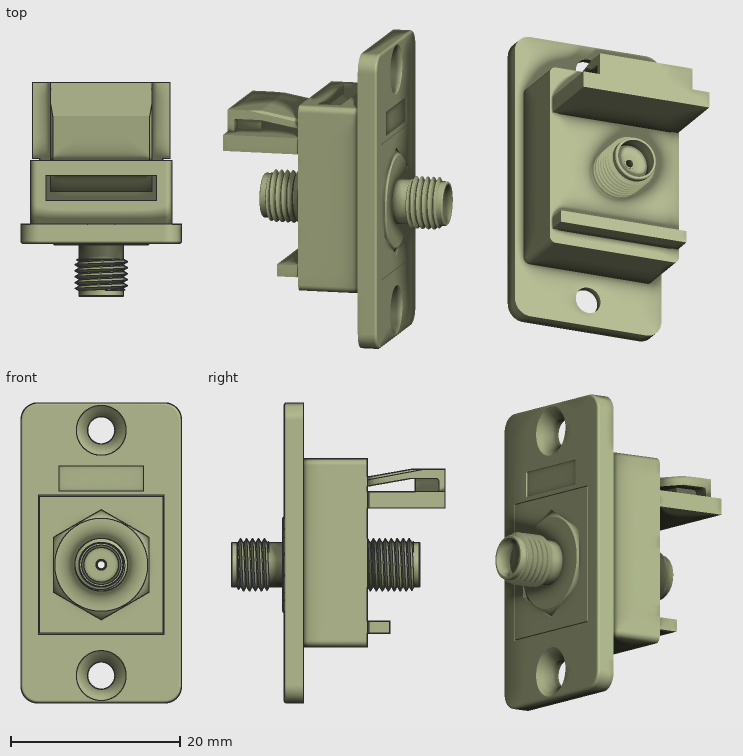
import cadquery as cq
import math


PLATE_WIDTH = 19.0
PLATE_HEIGHT = 35.5
PLATE_THICKNESS = 2.3
PLATE_CORNER_RADIUS = 2.0
PLATE_EDGE_FILLET = 0.3

SCREW_SPACING = 29.0
SCREW_DIAMETER = 3.2
COUNTERSINK_DIAMETER = 5.9
COUNTERSINK_ANGLE = 90.0

LABEL_WIDTH = 10.0
LABEL_HEIGHT = 3.0
LABEL_DEPTH = 0.2
LABEL_Z = 8.8

HOUSING_WIDTH = 16.75
HOUSING_HEIGHT = 22.3
HOUSING_REAR = 9.85
HOUSING_EDGE_RADIUS = 0.75

INSERT_WIDTH = 14.85
INSERT_HEIGHT = 16.45
GROOVE_WIDTH = 0.13
GROOVE_DEPTH = 0.3

BASE_WIDTH = 16.3
NECK_WIDTH = 14.55
NECK_LENGTH = 0.2
LATCH_REAR = 19.05
BASE_BOTTOM = 5.3
BASE_TOP = 7.25
FOOT_REAR = 12.5
FOOT_BOTTOM = -9.5
FOOT_TOP = -8.05

LATCH_WIDTH = 12.0
LATCH_TOP = 9.9
LATCH_THICKNESS = 1.1
LATCH_WALL = 0.75
LATCH_CORNER_RADIUS = 0.35
LATCH_BEND = 15.05
LATCH_SLOPE = math.radians(10.0)
LATCH_EDGE_CUT = 0.27
LATCH_EDGE_CUT_DEPTH = 0.35
LATCH_EDGE_CUT_START = 16.6
RIB_WIDTH = 8.0
RIB_FRONT = 15.5

WINDOW_WIDTH = 13.1
WINDOW_FRONT = 5.1
WINDOW_REAR = 8.05
WINDOW_FLOOR = 7.6
RAMP_FRONT = 6.15
RAMP_TOP = 9.95
RAMP_ANGLE = math.radians(48.5)

CONNECTOR_Z = -1.4
BARREL_DIAMETER = 5.3
BARREL_CHAMFER = 0.1
BARREL_FRONT = -6.25
BARREL_REAR = 16.05
THREAD_DIAMETER = 6.25
THREAD_PITCH = 25.4 / 36
THREAD_ROOT_WIDTH = 0.69
THREAD_EMBED = 0.1
THREAD_END_TAPER = 0.3
FRONT_THREAD_START = -5.55
FRONT_THREAD_END = -1.8
REAR_THREAD_START = 9.0
REAR_THREAD_END = 15.32
BORE_DIAMETER = 4.65
BORE_DEPTH = 2.0
DIELECTRIC_DIAMETER = 4.1
DIELECTRIC_STEP = 0.05
PIN_DIAMETER = 1.27
PIN_STEP = 0.1
PIN_HOLE_DIAMETER = 0.95

HEX_ACROSS_FLATS = 11.27
HEX_FACE_DIAMETER = 11.0
HEX_FRONT = -0.2
HEX_CHAMFER_ANGLE = math.radians(40.0)


def box(width, y_front, y_rear, z_bottom, z_top):
    """Block centred on X between the given Y and Z limits."""
    block = cq.Workplane("XY").box(width, y_rear - y_front, z_top - z_bottom, centered=(True, False, False))
    return block.translate((0, y_front, z_bottom))


def cylinder(diameter, y_front, y_rear):
    """Cylinder on the connector axis."""
    plane = cq.Plane(origin=(0, y_front, CONNECTOR_Z), xDir=(1, 0, 0), normal=(0, 1, 0))
    return cq.Workplane(plane).circle(diameter / 2).extrude(y_rear - y_front)


def side_prism(points, width):
    """Prism centred on X from (y, z) points."""
    return cq.Workplane("YZ").polyline(points).close().extrude(width / 2, both=True)


def make_plate():
    plate = box(PLATE_WIDTH, 0, PLATE_THICKNESS, -PLATE_HEIGHT / 2, PLATE_HEIGHT / 2)
    plate = plate.edges("|Y").fillet(PLATE_CORNER_RADIUS)
    plate = plate.faces("<Y").edges().fillet(PLATE_EDGE_FILLET)
    return plate


def cut_screw_holes(body):
    radius_step = (COUNTERSINK_DIAMETER - SCREW_DIAMETER) / 2
    sink_depth = radius_step / math.tan(math.radians(COUNTERSINK_ANGLE / 2))
    for z in (SCREW_SPACING / 2, -SCREW_SPACING / 2):
        shank = cq.Workplane("XZ").center(0, z).circle(SCREW_DIAMETER / 2).extrude(-PLATE_THICKNESS)
        sink = cq.Workplane(cq.Solid.makeCone(
            COUNTERSINK_DIAMETER / 2, SCREW_DIAMETER / 2, sink_depth,
            pnt=cq.Vector(0, 0, z), dir=cq.Vector(0, 1, 0)))
        body = body.cut(shank).cut(sink)
    return body


def make_housing():
    half_height = HOUSING_HEIGHT / 2
    housing = box(HOUSING_WIDTH, PLATE_THICKNESS, HOUSING_REAR, -half_height, half_height)
    return housing.edges("|Y").fillet(HOUSING_EDGE_RADIUS)


def cut_label_and_groove(body):
    label = box(LABEL_WIDTH, 0, LABEL_DEPTH, LABEL_Z - LABEL_HEIGHT / 2, LABEL_Z + LABEL_HEIGHT / 2)
    half_height = INSERT_HEIGHT / 2
    outer = box(INSERT_WIDTH, 0, GROOVE_DEPTH, CONNECTOR_Z - half_height, CONNECTOR_Z + half_height)
    inner_half = half_height - GROOVE_WIDTH
    inner = box(INSERT_WIDTH - 2 * GROOVE_WIDTH, 0, GROOVE_DEPTH,
                CONNECTOR_Z - inner_half, CONNECTOR_Z + inner_half)
    return body.cut(label).cut(outer.cut(inner))


def cut_window(body):
    window = box(WINDOW_WIDTH, WINDOW_FRONT, WINDOW_REAR, WINDOW_FLOOR, HOUSING_HEIGHT / 2)
    ramp_bottom = RAMP_TOP - (WINDOW_REAR - RAMP_FRONT) * math.tan(RAMP_ANGLE)
    ramp = side_prism([
        (WINDOW_REAR, RAMP_TOP),
        (RAMP_FRONT, ramp_bottom),
        (RAMP_FRONT, WINDOW_FLOOR),
        (WINDOW_REAR, WINDOW_FLOOR),
    ], LATCH_WIDTH)
    return body.cut(window).union(ramp)


def make_tongue(y_rear, z_bottom, z_top):
    """Rear projection with a narrower neck where it leaves the housing."""
    neck_end = HOUSING_REAR + NECK_LENGTH
    neck = box(NECK_WIDTH, HOUSING_REAR, neck_end, z_bottom, z_top)
    return neck.union(box(BASE_WIDTH, neck_end, y_rear, z_bottom, z_top))


def make_latch():
    drop = (LATCH_BEND - HOUSING_REAR) * math.tan(LATCH_SLOPE)
    underside = LATCH_TOP - LATCH_THICKNESS
    inner_y = LATCH_REAR - LATCH_WALL
    latch = (
        cq.Workplane("YZ")
        .moveTo(LATCH_REAR, BASE_TOP)
        .lineTo(LATCH_REAR, LATCH_TOP)
        .lineTo(LATCH_BEND, LATCH_TOP)
        .lineTo(HOUSING_REAR, LATCH_TOP - drop)
        .lineTo(HOUSING_REAR, underside - drop)
        .lineTo(LATCH_BEND, underside)
        .lineTo(inner_y - LATCH_CORNER_RADIUS, underside)
        .radiusArc((inner_y, underside - LATCH_CORNER_RADIUS), LATCH_CORNER_RADIUS)
        .lineTo(inner_y, BASE_TOP)
        .close()
        .extrude(LATCH_WIDTH / 2, both=True)
    )
    for side in (1, -1):
        latch = latch.cut(latch_edge_cut(side))
    return latch.union(box(RIB_WIDTH, RIB_FRONT, inner_y, BASE_TOP, underside))


def latch_edge_cut(side):
    """Wedge that bevels one upper edge of the sloping arm, growing toward the housing."""
    edge_x = side * LATCH_WIDTH / 2
    arm_z = LATCH_TOP - (LATCH_BEND - HOUSING_REAR) * math.tan(LATCH_SLOPE)
    tip = cq.Vector(edge_x, LATCH_EDGE_CUT_START, LATCH_TOP)
    bend = cq.Vector(edge_x - side * LATCH_EDGE_CUT, LATCH_BEND, LATCH_TOP)
    inner = cq.Vector(edge_x - side * LATCH_EDGE_CUT, HOUSING_REAR, arm_z)
    lower = cq.Vector(edge_x, HOUSING_REAR, arm_z - LATCH_EDGE_CUT_DEPTH)
    outer = cq.Vector(edge_x, HOUSING_REAR, LATCH_TOP)
    above = cq.Vector(edge_x - side * LATCH_EDGE_CUT, HOUSING_REAR, LATCH_TOP)
    triangles = [
        (tip, bend, lower), (bend, inner, lower), (bend, above, inner),
        (tip, outer, bend), (bend, outer, above), (tip, lower, outer),
        (inner, above, outer), (inner, outer, lower),
    ]
    faces = [cq.Face.makeFromWires(cq.Wire.makePolygon(t, close=True)) for t in triangles]
    return cq.Workplane(cq.Solid.makeSolid(cq.Shell.makeShell(faces)))


def make_thread(y_front, y_rear):
    """Right-hand helical ridge on the barrel, tapered off at both Y limits."""
    root_radius = BARREL_DIAMETER / 2 - THREAD_EMBED
    crest_radius = THREAD_DIAMETER / 2
    half_root = THREAD_ROOT_WIDTH / 2
    helix = cq.Wire.makeHelix(THREAD_PITCH, y_rear - y_front + THREAD_PITCH, root_radius)
    ridge = (
        cq.Workplane("XZ")
        .polyline([(root_radius, -half_root), (crest_radius, 0), (root_radius, half_root)])
        .close()
        .sweep(cq.Workplane(helix), isFrenet=True)
    )
    ridge = ridge.rotate((0, 0, 0), (1, 0, 0), 90)
    ridge = ridge.translate((0, y_rear + THREAD_PITCH / 2, CONNECTOR_Z))
    envelope = cylinder(THREAD_DIAMETER + 2 * THREAD_EMBED, y_front, y_rear)
    envelope = envelope.edges().chamfer(THREAD_END_TAPER, THREAD_DIAMETER / 2 - root_radius)
    return ridge.intersect(envelope)


def make_hexagon():
    """Return a full hexagonal prism and the same hexagon with its front corners turned to a cone."""
    corner_radius = HEX_ACROSS_FLATS / math.sqrt(3)
    cone_depth = (corner_radius - HEX_FACE_DIAMETER / 2) * math.tan(HEX_CHAMFER_ANGLE)
    plane = cq.Plane(origin=(0, HEX_FRONT, CONNECTOR_Z), xDir=(0, 0, 1), normal=(0, 1, 0))
    prism = cq.Workplane(plane).polygon(6, 2 * corner_radius).extrude(cone_depth)
    cone = cq.Workplane(cq.Solid.makeCone(
        HEX_FACE_DIAMETER / 2, corner_radius, cone_depth,
        pnt=cq.Vector(0, HEX_FRONT, CONNECTOR_Z), dir=cq.Vector(0, 1, 0)))
    return prism, prism.intersect(cone)


def add_connector(body):
    pocket, hexagon = make_hexagon()
    body = body.cut(pocket).union(hexagon)
    barrel = cylinder(BARREL_DIAMETER, BARREL_FRONT, BARREL_REAR)
    barrel = barrel.faces("<Y or >Y").edges().chamfer(BARREL_CHAMFER)
    barrel = barrel.union(make_thread(FRONT_THREAD_START, FRONT_THREAD_END))
    barrel = barrel.union(make_thread(REAR_THREAD_START, REAR_THREAD_END))
    return cut_bores(body.union(barrel))


def cut_bores(body):
    """Hollow both barrel ends, leaving the dielectric and the hollow centre pin."""
    front_floor = BARREL_FRONT + BORE_DEPTH
    rear_floor = BARREL_REAR - BORE_DEPTH
    body = body.cut(cylinder(BORE_DIAMETER, BARREL_FRONT, front_floor))
    body = body.cut(cylinder(BORE_DIAMETER, rear_floor, BARREL_REAR))
    dielectric_front = front_floor - DIELECTRIC_STEP
    dielectric_rear = rear_floor + DIELECTRIC_STEP
    body = body.union(cylinder(DIELECTRIC_DIAMETER, dielectric_front, dielectric_rear))
    body = body.union(cylinder(PIN_DIAMETER, dielectric_front - PIN_STEP, dielectric_rear + PIN_STEP))
    return body.cut(cylinder(PIN_HOLE_DIAMETER, BARREL_FRONT, BARREL_REAR))


body = make_plate().union(make_housing())
body = cut_screw_holes(body)
body = cut_label_and_groove(body)
body = cut_window(body)
body = body.union(make_tongue(LATCH_REAR, BASE_BOTTOM, BASE_TOP))
body = body.union(make_tongue(FOOT_REAR, FOOT_BOTTOM, FOOT_TOP))
body = body.union(make_latch())
result = add_connector(body)